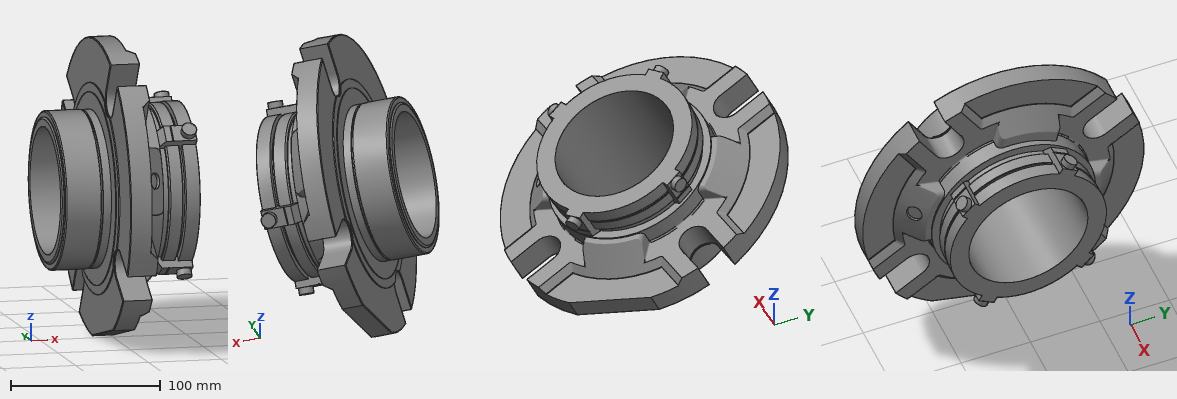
import cadquery as cq
import math


nose_end = 1.2
nose_groove_start = 25.5
nose_groove_end = 27.0
spigot_face = 32.5
step_face = 33.0
flange_front = 33.8
flange_back = 48.6
pad_face = 54.0
low_boss_end = 62.6
boss_end = 65.9
gland_end = 66.9
collar_start = 71.5
collar_end = 81.0
lock_ring_start = 83.0
sleeve_end = 92.6

bore_radius = 85.7 / 2
sleeve_tip_radius = 98.5 / 2
groove_radius = 103.4 / 2
nose_radius = 106.5 / 2
sleeve_radius = 106.2 / 2
spigot_radius = 129.5 / 2
step_radius = 71.0
flange_radius = 101.3
gland_radius = 118.0 / 2
cone_base_radius = 80.3
collar_radius = 55.7
lock_ring_radius = 112.5 / 2

nose_chamfer = 0.8
sleeve_tip_bevel_length = 0.8
sleeve_tip_bevel_height = 1.5
flange_chamfer = 0.6
collar_chamfer = 1.0
collar_back_chamfer = 0.5
root_fillet = 1.0

feature_pitch = 90
slot_angles = [122 + feature_pitch * i for i in range(4)]
slot_width = 21.7
slot_centre_radius = 78.0
pad_half_width = 23.3
pad_corner_fillet = 3.0
recess_wall = 0.6

boss_offset = feature_pitch / 2
boss_angles = [angle + boss_offset for angle in slot_angles]
port_angle, flat_angle, low_boss_angle = boss_angles[0], boss_angles[1], boss_angles[3]
boss_half_width = 22.3
boss_corner_fillet = 4.0
boss_edge_fillet = 0.8
port_diameter = 11.0
port_depth = 2.0
port_station = 58.8

flat_distance = 96.7

clip_angles = [60, 135, 240, 315]
clip_width = 12.5
clip_outer_radius = 60.5
bolt_diameter = 10.0
bolt_station = sleeve_end - bolt_diameter / 2
bolt_face_radius = 65.0
clip_inner_radius = 50.7
clip_score_station = 76.5
clip_score_width = 0.6
clip_score_depth = 0.5


def about_axis(shape, angle):
    """Turn a shape built along +Y to the given direction."""
    return shape.rotate((0, 0, 0), (1, 0, 0), angle)


def turned(points):
    """Revolve an (x, radius) outline about the X axis."""
    return cq.Workplane("XY").polyline(points).close().revolve(360, (0, 0, 0), (1, 0, 0))


def disc(start, end, radius):
    return cq.Workplane("YZ", origin=(start, 0, 0)).circle(radius).extrude(end - start)


def sleeve():
    """Sleeve tube with the nose ring, the clip collar and the lock ring."""
    tip = turned([
        (0, 0),
        (0, sleeve_tip_radius - sleeve_tip_bevel_height),
        (sleeve_tip_bevel_length, sleeve_tip_radius),
        (nose_end, sleeve_tip_radius),
        (nose_end, 0),
    ])
    nose = disc(nose_end, nose_groove_start, nose_radius).faces("<X").edges().chamfer(nose_chamfer)
    nose_groove = disc(nose_groove_start, nose_groove_end, groove_radius)
    tube = disc(nose_groove_end, collar_start, sleeve_radius)
    collar = disc(collar_start, collar_end, collar_radius).faces("<X").edges().chamfer(collar_chamfer)
    collar = collar.faces(">X").edges().chamfer(collar_back_chamfer)
    collar_groove = disc(collar_end, lock_ring_start, groove_radius)
    lock_ring = disc(lock_ring_start, sleeve_end, lock_ring_radius)
    body = tip
    for section in (nose, nose_groove, tube, collar, collar_groove, lock_ring):
        body = body.union(section)
    return body


def cone_radius_at(station):
    return cone_base_radius - (station - flange_back)


def cone(end):
    """45 degree cone on the back of the flange, cut off square at the given station."""
    foot = flange_back + recess_wall
    return turned([
        (flange_back, 0),
        (flange_back, cone_radius_at(foot)),
        (foot, cone_radius_at(foot)),
        (end, cone_radius_at(end)),
        (end, 0),
    ])


def slot_cutter(angle):
    length = flange_radius
    depth = gland_end - spigot_face
    centre = cq.Workplane("YZ", origin=(spigot_face, slot_centre_radius, 0))
    round_end = centre.circle(slot_width / 2).extrude(depth)
    straight = centre.center(length / 2, 0).rect(length, slot_width).extrude(depth)
    cutter = round_end.union(straight)
    return about_axis(cutter, angle)


def slot_pad(angle):
    """Raised pad around a slot, running from the axis out past the rim."""
    foot = flange_back + recess_wall
    foot_half_width = pad_half_width + pad_face - foot
    outline = [
        (flange_front, -foot_half_width),
        (flange_front, foot_half_width),
        (foot, foot_half_width),
        (pad_face, pad_half_width),
        (pad_face, -pad_half_width),
        (foot, -foot_half_width),
    ]
    pad = cq.Workplane("XZ").polyline(outline).close().extrude(-2 * flange_radius)
    return about_axis(pad, angle)


def root_profile(plane, wall, side):
    """Concave fillet between the pad face and a wall that has its open air on the given side."""
    inset = root_fillet * (1 - math.sqrt(0.5))
    profile = cq.Workplane(plane).moveTo(pad_face, wall).lineTo(pad_face + root_fillet, wall)
    profile = profile.threePointArc(
        (pad_face + inset, wall + side * inset),
        (pad_face, wall + side * root_fillet),
    )
    return profile.close()


def boss(angle, end):
    """Straight-sided piece of the cone with rounded edges and filleted roots."""
    length = end - flange_back
    block = cq.Workplane("XY", origin=(flange_back, 0, 0)).box(
        length, cone_base_radius, 2 * boss_half_width, centered=(False, False, True)
    )
    block = block.faces(">X").edges("|Y").fillet(boss_corner_fillet).intersect(cone(end))
    block = block.edges("%HYPERBOLA or %BSPLINE").fillet(boss_edge_fillet)
    for side in (-1, 1):
        root = root_profile("XZ", side * boss_half_width, side).extrude(-cone_base_radius)
        block = block.union(root.intersect(cone(end)))
    return about_axis(block, angle)


def rim_flat(angle):
    size = 2 * flange_radius
    cutter = cq.Workplane("XY").box(size, size, size).translate((0, flat_distance + flange_radius, 0))
    return about_axis(cutter, angle)


def port(angle):
    """Shallow round port, square to the cone surface."""
    port_radius = cone_radius_at(port_station)
    plane = cq.Plane(origin=(port_station, port_radius, 0), xDir=(0, 0, 1), normal=(1, 1, 0))
    floor = cq.Workplane(plane).workplane(offset=-port_depth)
    cutter = floor.circle(port_diameter / 2).extrude(2 * port_depth)
    return about_axis(cutter, angle)


def padded_flange():
    """Round flange plate with the pads and the cone standing up from its back.

    It is built oversize and trimmed once, so that plate and pads share one rim.
    """
    body = disc(flange_front, flange_back, 2 * flange_radius).union(cone(pad_face))
    for angle in slot_angles:
        body = body.union(slot_pad(angle))
    body = body.edges("%PARABOLA").fillet(pad_corner_fillet)
    return body.intersect(disc(flange_front, pad_face, flange_radius))


def gland_ring():
    """Ring behind the pads with a filleted root."""
    root = root_profile("XY", gland_radius, 1).revolve(360, (0, 0, 0), (1, 0, 0))
    return disc(flange_back, gland_end, gland_radius).union(root)


def gland():
    """Slotted flange with its bosses and ring, and with the front edges bevelled."""
    body = padded_flange().union(gland_ring())
    for angle in boss_angles:
        end = low_boss_end if angle == low_boss_angle else boss_end
        body = body.union(boss(angle, end))
    body = body.cut(port(port_angle)).cut(rim_flat(flat_angle))
    for angle in slot_angles:
        body = body.cut(slot_cutter(angle))
    return body.faces("<X").edges().chamfer(flange_chamfer)


def gland_front():
    """Two shallow raised steps on the front of the flange."""
    steps = disc(spigot_face, flange_front, spigot_radius)
    steps = steps.union(disc(step_face, flange_front, step_radius))
    for angle in slot_angles:
        steps = steps.cut(slot_cutter(angle))
    return steps


def clip(angle):
    """Setting clip with a ramp at the gland end and a bolt at the sleeve end."""
    outline = [
        (gland_end, clip_inner_radius),
        (gland_end, sleeve_radius),
        (collar_start, clip_outer_radius),
        (sleeve_end, clip_outer_radius),
        (sleeve_end, clip_inner_radius),
    ]
    bar = cq.Workplane("XY").polyline(outline).close().extrude(clip_width / 2, both=True)
    bolt = cq.Workplane("XZ", origin=(bolt_station, sleeve_radius, 0)).circle(bolt_diameter / 2)
    bolt = bolt.extrude(sleeve_radius - bolt_face_radius)
    score = cq.Workplane("XY").box(clip_score_width, 2 * clip_score_depth, 2 * clip_width)
    bar = bar.cut(score.translate((clip_score_station, clip_outer_radius, 0)))
    return about_axis(bar.union(bolt), angle)


result = sleeve().union(gland_front()).union(gland())
for clip_angle in clip_angles:
    result = result.union(clip(clip_angle))
result = result.cut(disc(0, sleeve_end, bore_radius))